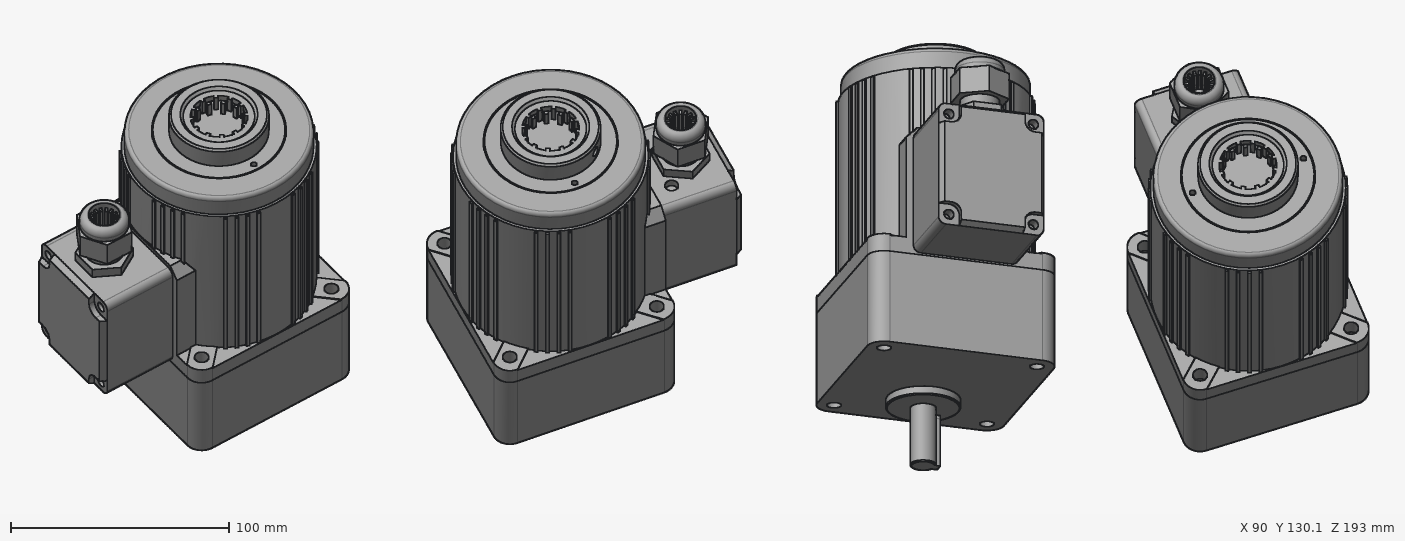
import cadquery as cq
import math

BODY_SIDE = 90.0
CORNER_RADIUS = 8.1
GEARBOX_BOTTOM = 32.6
GEARBOX_TOP = 77.4
MOUNT_HOLE_OFFSET = 36.9
MOUNT_HOLE_RADIUS = 3.3

SHAFT_Y = 18.1
BOSS_RADIUS = 17.2
BOSS_HEIGHT = 4.0
SHAFT_RADIUS = 6.0
SHAFT_INSERTION = 19.3
SMALL_CHAMFER = 0.5
KEY_WIDTH = 5.0
KEY_REACH = 7.5
KEY_TOP = 25.9

FLANGE_TOP = 85.3
PAD_HEIGHT = 0.5
PAD_WIDTH = 12.0
FRAME_RADIUS = 44.8
FRAME_TOP = 172.0
RIB_OUTER_RADIUS = 45.7
RIB_WIDTH = 1.5
RIB_TOP_SETBACK = 0.8
RIB_FIRST_ANGLE = 12.6
RIB_PITCH_ANGLE = 6.6
RIBS_PER_GROUP = 4
EMBEDMENT = 2.0
SADDLE_WIDTH = 57.5
SADDLE_TOP = 140.1
SADDLE_CHAMFER = 5.2

CAP_RADIUS = 43.5
CAP_TOP = 182.5
CAP_FILLET = 2.0

DISC_RADIUS = 30.3
DISC_GAP = 0.5
HUB_TOP = 193.0
COLLAR_RADIUS = 23.0
COLLAR_CHAMFER = 1.0
RECESS_RADIUS = 16.5
RECESS_DEPTH = 1.4
MOUTH_RADIUS = 13.1
LIP_THICKNESS = 3.3
CAVITY_RADIUS = 20.3
CAVITY_DEPTH = 10.6
TOOTH_INNER_RADIUS = 11.8
TOOTH_OUTER_RADIUS = 13.5
TOOTH_WIDTH = 2.0
TOOTH_COUNT = 24
HANGING_TOOTH_LENGTH = 7.7
STANDING_TOOTH_HEIGHT = 7.0
PIN_HOLE_OFFSET = 27.0
PIN_HOLE_RADIUS = 1.4
PIN_HOLE_DEPTH = 3.9
SET_SCREW_RADIUS = 2.3
SET_SCREW_DROP = 5.8
SET_SCREW_ANGLE = 220.0

BOX_WIDTH = 50.8
BOX_BOTTOM = 78.4
BOX_TOP = 138.0
BOX_BACK_Y = -BODY_SIDE / 2
BOX_FRONT_Y = -85.1
BOX_FILLET = 3.5
LID_DEPTH = 3.0
LID_INSET = 2.0
SCREW_INSET = 5.0
SCREW_RADIUS = 2.3
SCREW_DEPTH = 5.8
POCKET_RADIUS = 5.0
VENT_X = -13.1
VENT_Y = -54.8
VENT_RADIUS = 3.0
VENT_DEPTH = 3.9

GLAND_Y = -65.2
GLAND_BASE_CORNERS = 26.6
GLAND_BASE_TOP = 143.0
NECK_RADIUS = 9.0
NECK_TOP = 148.2
NUT_FLATS = 23.7
NUT_TOP = 160.8
DOME_RADIUS = 11.4
DOME_FILLET = 3.7
GLAND_TOP = 167.0
GLAND_BORE_RADIUS = 7.1
GLAND_BORE_DEPTH = 15.5
FINGER_INNER_RADIUS = 4.8
FINGER_DROP = 3.0
FINGER_COUNT = 16
FINGER_WIDTH = 1.2


def cylinder(radius, bottom, top, x=0.0, y=0.0):
    return cq.Workplane("XY", origin=(x, y, bottom)).circle(radius).extrude(top - bottom)


def block(x_size, y_min, y_max, z_min, z_max):
    """Box centred on X = 0 between the given Y and Z limits."""
    return (
        cq.Workplane("XY", origin=(0, (y_min + y_max) / 2, z_min))
        .rect(x_size, y_max - y_min)
        .extrude(z_max - z_min)
    )


def rounded_square(bottom, top):
    return (
        cq.Workplane("XY", origin=(0, 0, bottom))
        .rect(BODY_SIDE, BODY_SIDE)
        .extrude(top - bottom)
        .edges("|Z")
        .fillet(CORNER_RADIUS)
    )


def mount_holes(bottom, top):
    return (
        cq.Workplane("XY", origin=(0, 0, bottom))
        .rect(2 * MOUNT_HOLE_OFFSET, 2 * MOUNT_HOLE_OFFSET, forConstruction=True)
        .vertices()
        .circle(MOUNT_HOLE_RADIUS)
        .extrude(top - bottom)
    )


def radial_bar(inner_radius, outer_radius, width, bottom, top, angle):
    """Straight bar along Z that spans the two radii at the given angle."""
    return (
        cq.Workplane("XY", origin=(0, 0, bottom))
        .center((inner_radius + outer_radius) / 2, 0)
        .rect(outer_radius - inner_radius, width)
        .extrude(top - bottom)
        .rotate((0, 0, 0), (0, 0, 1), angle)
    )


def toothed_bore(outer_radius, inner_radius, teeth, tooth_width, bottom, top):
    """Cutter for a round bore whose wall carries straight inward teeth."""
    cutter = cylinder(outer_radius, bottom, top)
    root_radius = outer_radius + EMBEDMENT
    for i in range(teeth):
        angle = 360 * i / teeth
        cutter = cutter.cut(radial_bar(inner_radius, root_radius, tooth_width, bottom, top, angle))
    return cutter


def make_gearbox():
    boss_bottom = GEARBOX_BOTTOM - BOSS_HEIGHT
    boss = cylinder(BOSS_RADIUS, boss_bottom, GEARBOX_BOTTOM, y=SHAFT_Y)
    boss = boss.faces("<Z").chamfer(SMALL_CHAMFER)
    shaft_bore = cylinder(SHAFT_RADIUS, boss_bottom, boss_bottom + SHAFT_INSERTION, y=SHAFT_Y)
    return (
        rounded_square(GEARBOX_BOTTOM, GEARBOX_TOP)
        .union(boss)
        .cut(shaft_bore)
        .cut(mount_holes(GEARBOX_BOTTOM, GEARBOX_TOP))
    )


def make_shaft():
    """Output shaft with a key along its +X side, rounded at the upper end."""
    shaft_top = GEARBOX_BOTTOM - BOSS_HEIGHT + SHAFT_INSERTION
    shaft = cylinder(SHAFT_RADIUS, 0, shaft_top, y=SHAFT_Y).faces("<Z").chamfer(SMALL_CHAMFER)
    half_width = KEY_WIDTH / 2
    key = (
        cq.Workplane("YZ", origin=(0, SHAFT_Y, 0))
        .moveTo(-half_width, 0)
        .lineTo(half_width, 0)
        .lineTo(half_width, KEY_TOP - half_width)
        .threePointArc((0, KEY_TOP), (-half_width, KEY_TOP - half_width))
        .close()
        .extrude(KEY_REACH)
    )
    return shaft.union(key)


def make_frame():
    """Flange with raised corner pads, ribbed barrel and the saddle for the terminal box."""
    pad_top = FLANGE_TOP + PAD_HEIGHT
    frame = rounded_square(GEARBOX_TOP, FLANGE_TOP)
    pads = radial_bar(-BODY_SIDE, BODY_SIDE, PAD_WIDTH, FLANGE_TOP, pad_top, 45)
    pads = pads.union(radial_bar(-BODY_SIDE, BODY_SIDE, PAD_WIDTH, FLANGE_TOP, pad_top, 135))
    frame = frame.union(pads.intersect(rounded_square(FLANGE_TOP, pad_top)))
    frame = frame.cut(mount_holes(GEARBOX_TOP, pad_top))

    saddle = block(SADDLE_WIDTH, -BODY_SIDE / 2, 0, GEARBOX_TOP, SADDLE_TOP)
    saddle = saddle.edges("|Y and >Z").chamfer(SADDLE_CHAMFER)
    frame = frame.union(cylinder(FRAME_RADIUS, GEARBOX_TOP, FRAME_TOP)).union(saddle)

    rib_root_radius = FRAME_RADIUS - EMBEDMENT
    rib_top = FRAME_TOP - RIB_TOP_SETBACK
    for side_angle in (0, 90, 180, 270):
        for i in range(RIBS_PER_GROUP):
            offset = RIB_FIRST_ANGLE + i * RIB_PITCH_ANGLE
            for angle in (side_angle - offset, side_angle + offset):
                rib = radial_bar(rib_root_radius, RIB_OUTER_RADIUS, RIB_WIDTH, FLANGE_TOP, rib_top, angle)
                frame = frame.union(rib)
    return frame


def make_cap():
    cap = cylinder(CAP_RADIUS, FRAME_TOP, CAP_TOP).faces(">Z").edges().fillet(CAP_FILLET)
    return cap.cut(cylinder(DISC_RADIUS + DISC_GAP, FRAME_TOP, CAP_TOP))


def make_hub():
    collar = cylinder(COLLAR_RADIUS, FRAME_TOP, HUB_TOP).faces(">Z").chamfer(COLLAR_CHAMFER)
    hub = cylinder(DISC_RADIUS, FRAME_TOP, CAP_TOP).union(collar)

    recess_floor = HUB_TOP - RECESS_DEPTH
    recess = cq.Workplane("XY").add(
        cq.Solid.makeCone(
            RECESS_RADIUS, RECESS_RADIUS + RECESS_DEPTH, RECESS_DEPTH, pnt=cq.Vector(0, 0, recess_floor)
        )
    )
    mouth = cylinder(MOUTH_RADIUS, recess_floor - LIP_THICKNESS, recess_floor)
    cavity_floor = recess_floor - CAVITY_DEPTH
    cavity = cylinder(CAVITY_RADIUS, cavity_floor, recess_floor - LIP_THICKNESS)
    hub = hub.cut(recess).cut(mouth.union(cavity))

    tooth_limits = (
        (recess_floor - HANGING_TOOTH_LENGTH, recess_floor),
        (cavity_floor, cavity_floor + STANDING_TOOTH_HEIGHT),
    )
    for i in range(TOOTH_COUNT):
        bottom, top = tooth_limits[i % 2]
        angle = 360 * i / TOOTH_COUNT
        tooth = radial_bar(TOOTH_INNER_RADIUS, TOOTH_OUTER_RADIUS, TOOTH_WIDTH, bottom, top, angle)
        hub = hub.union(tooth)

    for x in (-PIN_HOLE_OFFSET, PIN_HOLE_OFFSET):
        hub = hub.cut(cylinder(PIN_HOLE_RADIUS, CAP_TOP - PIN_HOLE_DEPTH, CAP_TOP, x=x))

    set_screw_hole = (
        cq.Workplane("YZ", origin=(CAVITY_RADIUS - EMBEDMENT, 0, HUB_TOP - SET_SCREW_DROP))
        .circle(SET_SCREW_RADIUS)
        .extrude(COLLAR_RADIUS - CAVITY_RADIUS + 2 * EMBEDMENT)
        .rotate((0, 0, 0), (0, 0, 1), SET_SCREW_ANGLE)
    )
    return hub.cut(set_screw_hole)


def make_terminal_box():
    lid_back_y = BOX_FRONT_Y + LID_DEPTH
    height = BOX_TOP - BOX_BOTTOM
    middle_z = (BOX_TOP + BOX_BOTTOM) / 2
    box = block(BOX_WIDTH, lid_back_y, BOX_BACK_Y, BOX_BOTTOM, BOX_TOP).edges("|Y").fillet(BOX_FILLET)
    lid = (
        cq.Workplane("XZ", origin=(0, lid_back_y, middle_z))
        .rect(BOX_WIDTH, height)
        .extrude(LID_DEPTH, taper=math.degrees(math.atan(LID_INSET / LID_DEPTH)))
    )
    lid = lid.intersect(
        block(BOX_WIDTH, BOX_FRONT_Y, lid_back_y, BOX_BOTTOM, BOX_TOP).edges("|Y").fillet(BOX_FILLET)
    )
    box = box.union(lid)

    for x_side in (-1, 1):
        for z_side in (-1, 1):
            x = x_side * (BOX_WIDTH / 2 - SCREW_INSET)
            z = middle_z + z_side * (height / 2 - SCREW_INSET)
            box = box.cut(corner_pocket(x, z, x_side, z_side))
            screw_hole = (
                cq.Workplane("XZ", origin=(x, lid_back_y, z)).circle(SCREW_RADIUS).extrude(-SCREW_DEPTH)
            )
            box = box.cut(screw_hole)
    return box.cut(cylinder(VENT_RADIUS, BOX_TOP - VENT_DEPTH, BOX_TOP, x=VENT_X, y=VENT_Y))


def corner_pocket(x, z, x_side, z_side):
    """Lid-deep pocket that is round towards the lid centre and open at the box corner."""
    arc_middle = POCKET_RADIUS * math.sqrt(0.5)
    edge = 2 * POCKET_RADIUS
    return (
        cq.Workplane("XZ", origin=(x, BOX_FRONT_Y + LID_DEPTH, z))
        .moveTo(x_side * edge, -z_side * POCKET_RADIUS)
        .lineTo(0, -z_side * POCKET_RADIUS)
        .threePointArc((-x_side * arc_middle, -z_side * arc_middle), (-x_side * POCKET_RADIUS, 0))
        .lineTo(-x_side * POCKET_RADIUS, z_side * edge)
        .lineTo(x_side * edge, z_side * edge)
        .close()
        .extrude(LID_DEPTH)
    )


def make_gland():
    """Hexagonal base, neck, hexagonal nut and domed top with clamping fingers in the bore."""
    base = (
        cq.Workplane("XY", origin=(0, 0, BOX_TOP))
        .polygon(6, GLAND_BASE_CORNERS)
        .extrude(GLAND_BASE_TOP - BOX_TOP)
    )
    neck = cylinder(NECK_RADIUS, GLAND_BASE_TOP, NECK_TOP)
    nut = (
        cq.Workplane("XY", origin=(0, 0, NECK_TOP))
        .polygon(6, NUT_FLATS / math.cos(math.pi / 6))
        .extrude(NUT_TOP - NECK_TOP)
        .rotate((0, 0, 0), (0, 0, 1), 30)
    )
    dome = cylinder(DOME_RADIUS, NUT_TOP, GLAND_TOP).faces(">Z").edges().fillet(DOME_FILLET)
    finger_top = GLAND_TOP - FINGER_DROP
    mouth = cylinder(GLAND_BORE_RADIUS, finger_top, GLAND_TOP)
    bore = toothed_bore(
        GLAND_BORE_RADIUS,
        FINGER_INNER_RADIUS,
        FINGER_COUNT,
        FINGER_WIDTH,
        GLAND_TOP - GLAND_BORE_DEPTH,
        finger_top,
    )
    gland = base.union(neck).union(nut).union(dome).cut(mouth).cut(bore)
    return gland.translate((0, GLAND_Y, 0))


gearbox = make_gearbox()
shaft = make_shaft()
frame = make_frame()
cap = make_cap()
hub = make_hub()
terminal_box = make_terminal_box()
gland = make_gland()

result = cq.Compound.makeCompound(
    [
        gearbox.val(),
        shaft.val(),
        frame.val(),
        cap.val(),
        hub.val(),
        terminal_box.val(),
        gland.val(),
    ]
)